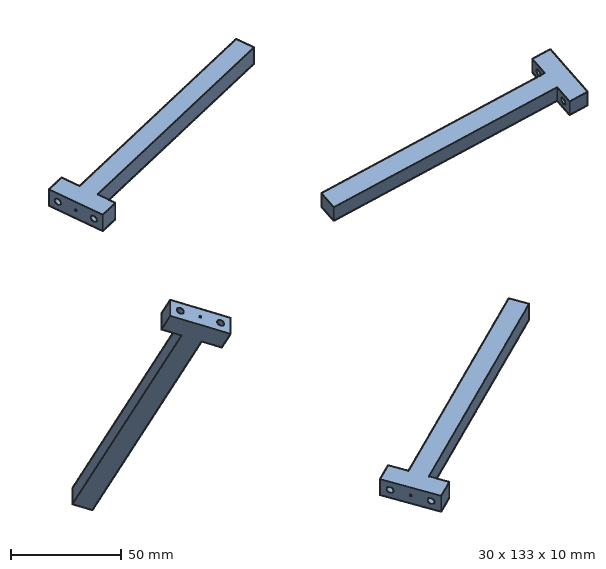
import cadquery as cq

head_width = 30.0
head_depth = 10.0
thickness = 10.0
overall_length = 133.0
bar_width = 10.0

through_hole_diameter = 3.4
through_hole_spacing = 20.0
center_hole_diameter = 1.0
center_hole_depth = head_depth

bar_length = overall_length - head_depth


def make_block(width, length, front_y):
    """Block centred on X and Z that starts at front_y and runs along +Y."""
    block = cq.Workplane("XY").box(width, length, thickness, centered=(True, False, True))
    return block.translate((0, front_y, 0))


def make_hole(x, diameter, depth):
    """Cylinder that enters the front face of the head along +Y."""
    return cq.Workplane("XZ").center(x, 0).circle(diameter / 2).extrude(-depth)


head = make_block(head_width, head_depth, 0)
bar = make_block(bar_width, bar_length, head_depth)
result = head.union(bar)

for side in (-1, 1):
    x = side * through_hole_spacing / 2
    result = result.cut(make_hole(x, through_hole_diameter, head_depth))

result = result.cut(make_hole(0, center_hole_diameter, center_hole_depth))